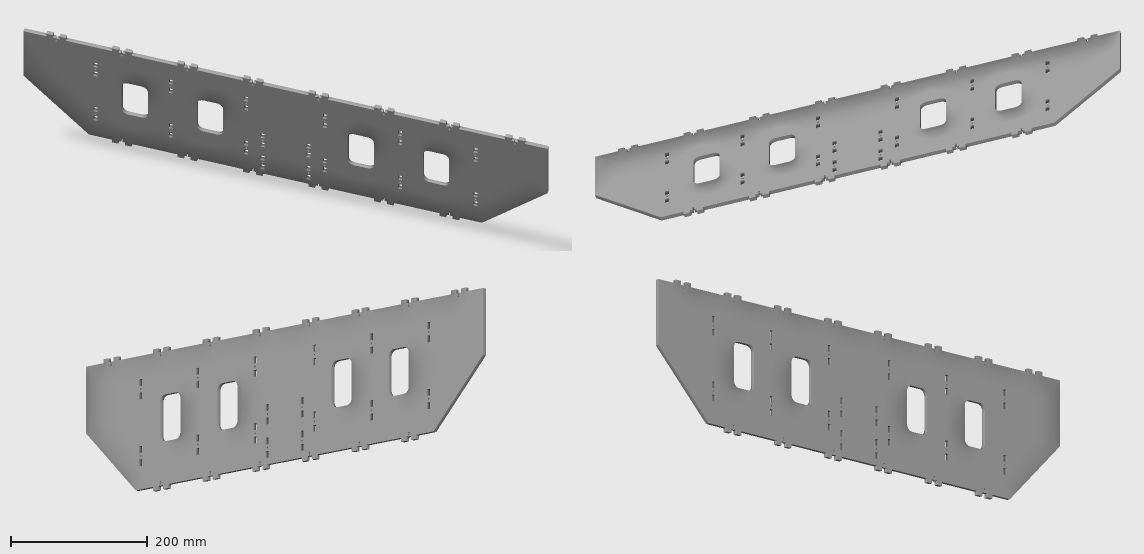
import cadquery as cq

length = 800.0
height = 200.0
thickness = 6.0
half_length = length / 2
half_height = height / 2
corner_cut = half_height

grid = height / 20

tab_width = grid
tab_gap = grid
tab_depth = thickness
tab_pitch = 10 * grid
tabs_per_half = 4
keyhole_neck_width = 2.0
keyhole_inset = 5.2

slot_width = thickness
slot_height = tab_width
slot_gap = tab_gap
screw_diameter = 3.0

column_pitch = 11.5 * grid
first_slot_column = 6 * grid
slot_columns_per_half = 3
slot_row_offset = 5 * grid
inner_slot_column = 3.5 * grid
inner_slot_rows = (-7.5 * grid, -2.5 * grid)

window_width = 4 * grid
window_height = 7 * grid
window_radius = grid
windows_per_half = 2


def mirrored(points):
    """The points together with their mirror images about X = 0."""
    return points + [(-x, z) for x, z in points]


def extruded(outline):
    """Solid of the plate's thickness from an outline in the XZ plane."""
    return outline.extrude(thickness / 2, both=True)


def rectangles(centers, width, depth):
    return extruded(cq.Workplane("XZ").pushPoints(centers).rect(width, depth))


def screw_holes(centers):
    return extruded(cq.Workplane("XZ").pushPoints(centers).circle(screw_diameter / 2))


def make_plate():
    outline = (
        cq.Workplane("XZ")
        .moveTo(-half_length, half_height)
        .lineTo(half_length, half_height)
        .lineTo(half_length, corner_cut - half_height)
        .lineTo(half_length - corner_cut, -half_height)
        .lineTo(corner_cut - half_length, -half_height)
        .lineTo(-half_length, corner_cut - half_height)
        .close()
    )
    return extruded(outline)


def make_tabs(columns, edge_z, outward):
    """Pairs of tabs standing out from a long edge; outward is +1 or -1 along Z."""
    offset = (tab_width + tab_gap) / 2
    z = edge_z + outward * tab_depth / 2
    centers = [(x + side * offset, z) for x in columns for side in (-1, 1)]
    return rectangles(centers, tab_width, tab_depth)


def make_keyholes(columns, edge_z, outward):
    """Screw holes near a long edge, each opening to the edge through a narrow neck."""
    holes = screw_holes([(x, edge_z - outward * keyhole_inset) for x in columns])
    neck_z = edge_z - outward * keyhole_inset / 2
    necks = rectangles([(x, neck_z) for x in columns], keyhole_neck_width, keyhole_inset)
    return holes.union(necks)


def make_slot_joints():
    """Pairs of slots, one above the other, with a screw hole midway between them."""
    offset = (slot_height + slot_gap) / 2
    columns = [first_slot_column + column_pitch * i for i in range(slot_columns_per_half)]
    joints = [(x, z) for x in columns for z in (-slot_row_offset, slot_row_offset)]
    joints += [(inner_slot_column, z) for z in inner_slot_rows]
    joints = mirrored(joints)
    centers = [(x, z + side * offset) for x, z in joints for side in (-1, 1)]
    return rectangles(centers, slot_width, slot_height).union(screw_holes(joints))


def make_windows():
    centers = mirrored([(column_pitch * (i + 1), 0) for i in range(windows_per_half)])
    return rectangles(centers, window_width, window_height).edges("|Y").fillet(window_radius)


half_columns = [tab_pitch * (i + 0.5) for i in range(tabs_per_half)]
top_columns = half_columns + [-x for x in half_columns]
bottom_columns = half_columns[:-1] + [-x for x in half_columns[:-1]]

result = make_plate().cut(make_slot_joints()).cut(make_windows())
for columns, edge_z, outward in (
    (top_columns, half_height, 1),
    (bottom_columns, -half_height, -1),
):
    result = result.union(make_tabs(columns, edge_z, outward))
    result = result.cut(make_keyholes(columns, edge_z, outward))